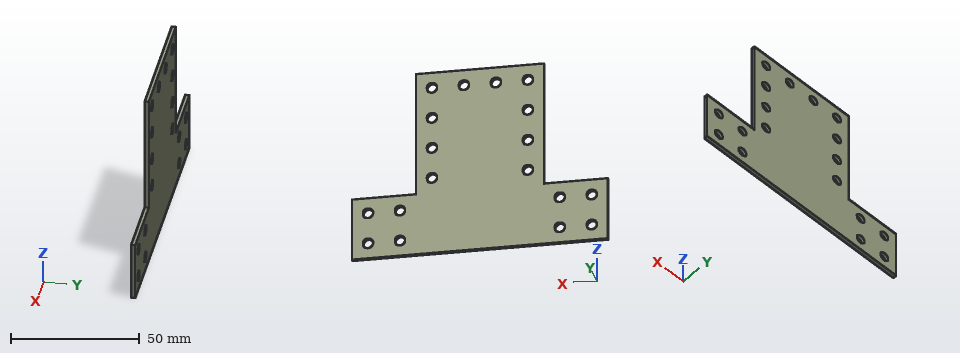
import cadquery as cq

pitch = 12.7
thickness = 1.6
hole_diameter = 4.1

base_width = 8 * pitch
base_height = 2 * pitch
stem_width = 4 * pitch
total_height = 6 * pitch

stem_edge_x = (stem_width - pitch) / 2
base_outer_x = (base_width - pitch) / 2
base_inner_x = base_outer_x - pitch
top_row_z = total_height - pitch / 2


def plate():
    """Inverted-T plate, centered on X, back face on Y = 0, standing on Z = 0."""
    outline = [
        (-base_width / 2, 0),
        (base_width / 2, 0),
        (base_width / 2, base_height),
        (stem_width / 2, base_height),
        (stem_width / 2, total_height),
        (-stem_width / 2, total_height),
        (-stem_width / 2, base_height),
        (-base_width / 2, base_height),
    ]
    return cq.Workplane("XZ").polyline(outline).close().extrude(thickness)


def hole_centers():
    """Centers (x, z) of the holes in both base wings and around the stem border."""
    centers = []
    for side in (-1, 1):
        for row in range(6):
            z = (row + 0.5) * pitch
            if z < base_height:
                centers.append((side * base_outer_x, z))
                centers.append((side * base_inner_x, z))
            else:
                centers.append((side * stem_edge_x, z))
        centers.append((side * pitch / 2, top_row_z))
    return centers


holes = (
    cq.Workplane("XZ")
    .pushPoints(hole_centers())
    .circle(hole_diameter / 2)
    .extrude(thickness)
)

result = plate().cut(holes)